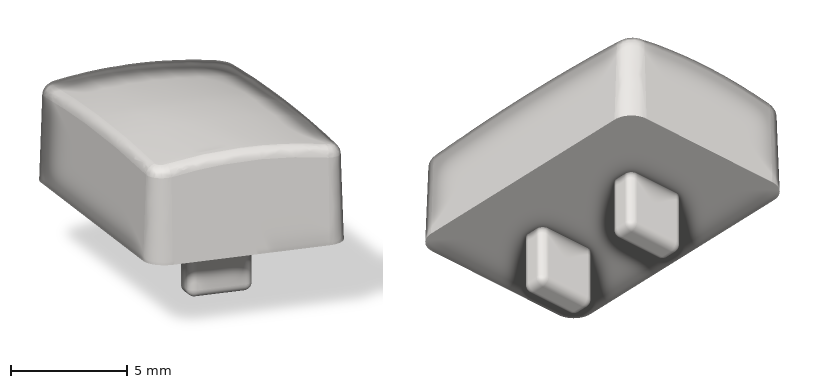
import cadquery as cq

CAP_LENGTH = 13.73
CAP_WIDTH = 9.23
CORNER_RADIUS = 0.97
DRAFT_ANGLE = 2.0

CROWN_HEIGHT = 4.94
CROWN_RADIUS_X = 82.38
CROWN_RADIUS_Y = 21.83
TOP_FILLET = 0.5

PEG_SIZE_X = 1.26
PEG_SIZE_Y = 3.0
PEG_LENGTH = 2.84
PEG_SPACING = 5.68
PEG_FILLET = 0.36

CLEARANCE = 0.69
CROWN_SWING_ANGLE = 15.0
PEG_OVERLAP = 0.27


def drafted_block():
    """Rounded block that narrows upwards and stands taller than the crown."""
    outline = cq.Sketch().rect(CAP_LENGTH, CAP_WIDTH).vertices().fillet(CORNER_RADIUS)
    return cq.Workplane("XY").placeSketch(outline).extrude(CROWN_HEIGHT + CLEARANCE, taper=DRAFT_ANGLE)


def crown_envelope():
    """Doubly curved body: an arc across Y, swung about an axis parallel to Y."""
    half_width = CAP_WIDTH / 2 + CLEARANCE
    arc_drop = CROWN_RADIUS_Y - (CROWN_RADIUS_Y**2 - half_width**2) ** 0.5
    edge_height = CROWN_HEIGHT - arc_drop
    axis_height = CROWN_HEIGHT - CROWN_RADIUS_X
    bottom = -CLEARANCE
    return (
        cq.Workplane("YZ")
        .moveTo(-half_width, bottom)
        .lineTo(-half_width, edge_height)
        .threePointArc((0, CROWN_HEIGHT), (half_width, edge_height))
        .lineTo(half_width, bottom)
        .close()
        .revolve(CROWN_SWING_ANGLE, (0, axis_height), (1, axis_height))
        .rotate((0, 0, axis_height), (0, 1, axis_height), -CROWN_SWING_ANGLE / 2)
    )


def make_cap():
    cap = drafted_block().intersect(crown_envelope())
    return cap.faces(">Z").edges().fillet(TOP_FILLET)


def make_peg(center_x):
    """Rounded peg hanging below the cap, its root sunk into the base."""
    return (
        cq.Workplane("XY", origin=(center_x, 0, PEG_OVERLAP))
        .rect(PEG_SIZE_X, PEG_SIZE_Y)
        .extrude(-(PEG_LENGTH + PEG_OVERLAP))
        .edges("|Z")
        .fillet(PEG_FILLET)
        .faces("<Z")
        .edges()
        .fillet(PEG_FILLET)
    )


result = make_cap()
for side in (-1, 1):
    result = result.union(make_peg(side * PEG_SPACING / 2))